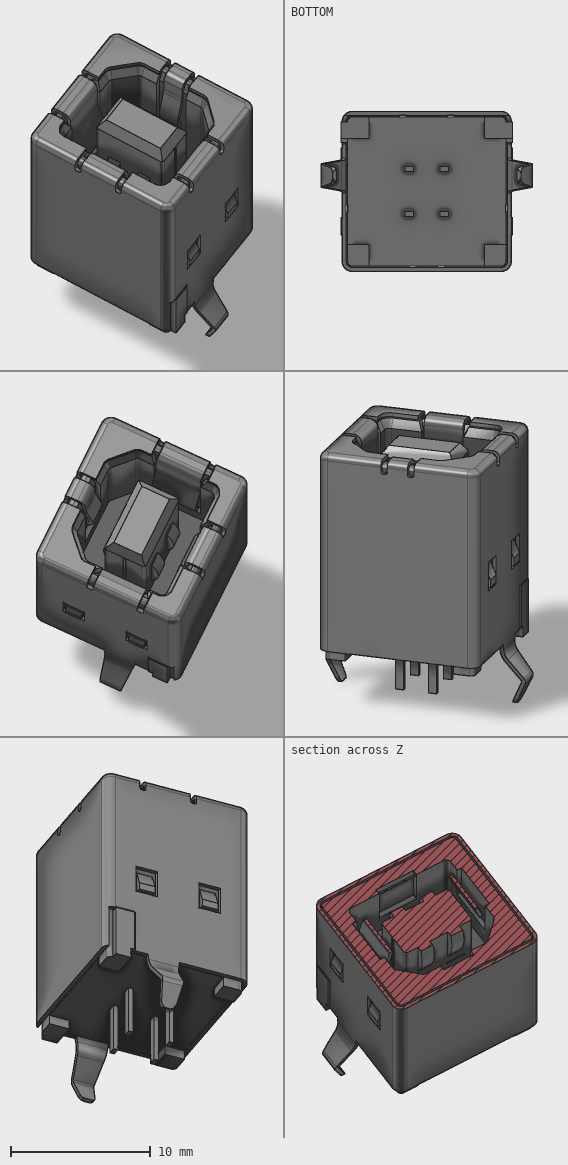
import cadquery as cq
import math


SHELL_X = 12.12
SHELL_Y = 11.47
TOP_Z = 19.64
SHELL_BOTTOM_Z = 4.7
SHEET = 0.3
CORNER_RADIUS = 0.75
RIM_RADIUS = 0.5
HALF_X = SHELL_X / 2
HALF_Y = SHELL_Y / 2
PLATE_BOTTOM_Z = TOP_Z - SHEET

SHELL_GAP = 0.1
WALL_STACK = SHEET + SHELL_GAP
HOUSING_HALF_X = HALF_X - WALL_STACK
HOUSING_HALF_Y = HALF_Y - WALL_STACK
HOUSING_TOP_Z = TOP_Z - WALL_STACK
HOUSING_RADIUS = 0.33
HOUSING_RIM_RADIUS = 0.4
FOOT = 1.55
FOOT_BOTTOM_Z = 3.97

MOUTH_HALF_X = 4.62
MOUTH_HALF_Y = 4.25
MOUTH_BEVEL_X = 1.8
MOUTH_BEVEL_Y = 1.73
MOUTH_RADIUS = 0.75
LEAD_IN = 0.37
LEAD_IN_DEPTH = 0.67
LEAD_IN_ANGLE = math.degrees(math.atan(LEAD_IN / LEAD_IN_DEPTH))
CAVITY_FLOOR_Z = 10.21

TONGUE_X = 5.7
TONGUE_Y = 3.26
TONGUE_TOP_Z = 19.17
TONGUE_RADIUS = 0.24
TONGUE_BEVEL = 0.53
TONGUE_BEVEL_DEPTH = 0.75
TONGUE_RIB_WIDTH = 0.2
TONGUE_RIB_HEIGHT = 0.05
CONTACT_X = 1.25
CONTACT_WIDTH = 1.02
CONTACT_BULGE = 0.55
CONTACT_TOP_Z = 15.71
CONTACT_BOTTOM_Z = 11.78

PIN_Y = 1.61
PIN_WIDTH = 0.6
PIN_THICKNESS = 0.33
PIN_BOTTOM_Z = 0.96

NOTCH_WIDTH = 0.5
NOTCH_BOTTOM_Z = 18.65
NOTCH_RADIUS = 0.2
RIM_FLAT = 0.98
SIDE_FINGER_Y = -0.79
SIDE_FINGER_WIDTH = 3.52
FRONT_FINGER_WIDTH = 2.95
BACK_FINGER_WIDTH = 1.53
CAVITY_REACH = 2.95
FINGER_TOP_Z = TOP_Z - SHEET / 2

SIDE_FINGER = [(-RIM_FLAT, FINGER_TOP_Z), (-1.5, FINGER_TOP_Z), (-1.5, 16.93), (-2.45, 14.73), (-2.06, 13.55)]
SIDE_FINGER_RADII = [0.5, 0.98, 0.4]
END_FINGER = [(-RIM_FLAT, FINGER_TOP_Z), (-1.45, FINGER_TOP_Z), (-1.51, 17.93), (-2.12, 15.71), (-1.77, 14.73)]
END_FINGER_RADII = [0.45, 1.77, 0.4]

SLOT_FLOOR_Z = 11.78
SLOT_CLEARANCE = 0.1
SLOT_BEVEL = 0.31
SLOT_END_BEVEL = 0.47
BACK_SLOT_INSET = 1.12
BACK_SLOT_BEVEL = 0.35

WINDOW_Y = 2.5
WINDOW_WIDTH = 1.69
WINDOW_TOP_Z = 11.98
WINDOW_BOTTOM_Z = 9.84
BARB_WIDTH = 1.24
BARB_TOP_Z = 11.7
BARB_EDGE_Z = 10.59
BARB_BOTTOM_Z = 10.04
PROUD_HEIGHT = 0.08
PROUD_X = HALF_X + PROUD_HEIGHT

BLOCK_FRONT_Y = -4.97
BLOCK_BACK_Y = -3.5
BLOCK_TOP_Z = 8.0
BLOCK_STEP_Z = 4.75
BLOCK_CLEARANCE = 0.1
CUTOUT_FRONT_Y = -5.42

LEG_Y = -1.14
LEG_ROOT_WIDTH = 2.51
LEG_TIP_WIDTH = 1.06
LEG_TIP_RADIUS = 0.5
LEG_SPAN = 15.15
LEG_REACH = LEG_SPAN / 2
LEG_ANKLE_Z = 3.8
LEG_ANKLE_RADIUS = 1.34
LEG_KNEE_RADIUS = 0.3
LEG_OUTWARD_ANGLE = math.radians(40)
LEG_INWARD_ANGLE = math.radians(25)


def box(x0, x1, y0, y1, z0, z1):
    """Axis-aligned box between two opposite corners."""
    return cq.Workplane("XY").box(x1 - x0, y1 - y0, z1 - z0, centered=False).translate((x0, y0, z0))


def rounded_block(half_x, half_y, z0, z1, corner_radius, rim_radius):
    """Block with round upright corners and a rounded top rim."""
    block = box(-half_x, half_x, -half_y, half_y, z0, z1)
    return block.edges("|Z").fillet(corner_radius).faces(">Z").edges().fillet(rim_radius)


def both_sides(feature):
    """The feature and its mirror image across the YZ plane."""
    return feature.union(feature.mirror("YZ"))


def bent_strip(points, radii, width):
    """Sheet strip whose mid-line follows (distance, height) points, rounded at each bend.

    The strip lies in the XZ plane and is centred on Y = 0.
    """
    path = cq.Workplane("XZ").moveTo(*points[0])
    for before, bend, after, radius in zip(points, points[1:], points[2:], radii):
        heading_in = math.atan2(bend[1] - before[1], bend[0] - before[0])
        heading_out = math.atan2(after[1] - bend[1], after[0] - bend[0])
        setback = radius * abs(math.tan((heading_out - heading_in) / 2))
        arc_start = (bend[0] - setback * math.cos(heading_in), bend[1] - setback * math.sin(heading_in))
        arc_end = (bend[0] + setback * math.cos(heading_out), bend[1] + setback * math.sin(heading_out))
        path = path.lineTo(*arc_start).tangentArcPoint(arc_end, relative=False)
    path = path.lineTo(*points[-1])
    heading = cq.Vector(points[1][0] - points[0][0], 0, points[1][1] - points[0][1])
    start = cq.Plane(origin=(points[0][0], 0, points[0][1]), xDir=(0, 1, 0), normal=heading.toTuple())
    return cq.Workplane(start).rect(width, SHEET).sweep(path)


def shell():
    """Open-bottomed sheet-metal can."""
    outside = rounded_block(HALF_X, HALF_Y, SHELL_BOTTOM_Z, TOP_Z, CORNER_RADIUS, RIM_RADIUS)
    inside = rounded_block(
        HALF_X - SHEET,
        HALF_Y - SHEET,
        SHELL_BOTTOM_Z,
        PLATE_BOTTOM_Z,
        CORNER_RADIUS - SHEET,
        RIM_RADIUS - SHEET,
    )
    return outside.cut(inside)


def mouth_sketch():
    """Cavity outline at the mouth: a rectangle with its two back corners cut off."""
    bevel_x = MOUTH_HALF_X - MOUTH_BEVEL_X
    bevel_y = MOUTH_HALF_Y - MOUTH_BEVEL_Y
    corners = [
        (-MOUTH_HALF_X, -MOUTH_HALF_Y),
        (MOUTH_HALF_X, -MOUTH_HALF_Y),
        (MOUTH_HALF_X, bevel_y),
        (bevel_x, MOUTH_HALF_Y),
        (-bevel_x, MOUTH_HALF_Y),
        (-MOUTH_HALF_X, bevel_y),
    ]
    return cq.Sketch().polygon(corners + corners[:1]).vertices().fillet(MOUTH_RADIUS)


def mouth_opening():
    """Straight cut through the shell's top plate."""
    return cq.Workplane("XY", origin=(0, 0, HOUSING_TOP_Z)).placeSketch(mouth_sketch()).extrude(WALL_STACK)


def cavity():
    """Plug cavity: a tapered lead-in, then straight walls down to the floor."""
    lead_in = cq.Workplane("XY", origin=(0, 0, HOUSING_TOP_Z)).placeSketch(mouth_sketch())
    lead_in = lead_in.extrude(-LEAD_IN_DEPTH, taper=LEAD_IN_ANGLE)
    depth = HOUSING_TOP_Z - LEAD_IN_DEPTH - CAVITY_FLOOR_Z
    straight = lead_in.faces("<Z").wires().toPending().extrude(-depth, combine=False)
    return lead_in.union(straight)


def housing():
    """Plastic body standing on four corner feet."""
    body = rounded_block(
        HOUSING_HALF_X, HOUSING_HALF_Y, FOOT_BOTTOM_Z, HOUSING_TOP_Z, HOUSING_RADIUS, HOUSING_RIM_RADIUS
    )
    between_x = HOUSING_HALF_X - FOOT
    between_y = HOUSING_HALF_Y - FOOT
    body = body.cut(box(-between_x, between_x, -HALF_Y, HALF_Y, FOOT_BOTTOM_Z, SHELL_BOTTOM_Z))
    return body.cut(box(-HALF_X, HALF_X, -between_y, between_y, FOOT_BOTTOM_Z, SHELL_BOTTOM_Z))


def tongue():
    """Central tongue with a bevelled top, round upright edges and a thin rib on each end."""
    shoulder_z = TONGUE_TOP_Z - TONGUE_BEVEL_DEPTH
    half_x = TONGUE_X / 2
    half_y = TONGUE_Y / 2
    block = box(-half_x, half_x, -half_y, half_y, CAVITY_FLOOR_Z, shoulder_z)
    bevelled_top = (
        cq.Workplane("XY", origin=(0, 0, shoulder_z))
        .rect(TONGUE_X, TONGUE_Y)
        .workplane(offset=TONGUE_BEVEL_DEPTH)
        .rect(TONGUE_X - 2 * TONGUE_BEVEL, TONGUE_Y - 2 * TONGUE_BEVEL)
        .loft()
    )
    block = block.union(bevelled_top).edges("|Z").fillet(TONGUE_RADIUS)
    rib_x = half_x + TONGUE_RIB_HEIGHT
    half_rib = TONGUE_RIB_WIDTH / 2
    return block.union(box(-rib_x, rib_x, -half_rib, half_rib, CAVITY_FLOOR_Z, shoulder_z))


def contacts():
    """Four contacts bulging from the long faces of the tongue."""
    face_y = TONGUE_Y / 2
    middle_z = (CONTACT_TOP_Z + CONTACT_BOTTOM_Z) / 2
    bulge = (
        cq.Workplane("YZ")
        .moveTo(face_y, CONTACT_BOTTOM_Z)
        .threePointArc((face_y + CONTACT_BULGE, middle_z), (face_y, CONTACT_TOP_Z))
        .close()
        .extrude(CONTACT_WIDTH / 2, both=True)
    )
    pair = bulge.union(bulge.mirror("XZ"))
    return both_sides(pair.translate((CONTACT_X, 0, 0)))


def pins():
    """Four straight pins below the housing."""
    positions = [(x, y) for x in (-CONTACT_X, CONTACT_X) for y in (-PIN_Y, PIN_Y)]
    plane = cq.Workplane("XY", origin=(0, 0, PIN_BOTTOM_Z))
    return plane.pushPoints(positions).rect(PIN_WIDTH, PIN_THICKNESS).extrude(SHELL_BOTTOM_Z - PIN_BOTTOM_Z)




def rim_cut(width):
    """Two notches with rounded bottoms beside the finger, and the plate removed over its spring part."""
    half_notch = NOTCH_WIDTH / 2
    notch_y = width / 2 + half_notch
    notch = box(-RIM_FLAT, 0, -half_notch, half_notch, NOTCH_BOTTOM_Z, TOP_Z)
    notch = notch.edges("|X and <Z").fillet(NOTCH_RADIUS)
    plate_half = width / 2 + NOTCH_WIDTH
    cut = box(-CAVITY_REACH, -RIM_FLAT, -plate_half, plate_half, PLATE_BOTTOM_Z, TOP_Z)
    for side in (-1, 1):
        cut = cut.union(notch.translate((0, side * notch_y, 0)))
    return cut


def housing_slot(half_width, bevel, inset, end_bevel):
    """Slot behind a finger, flared at the top of the housing."""
    bevel_bottom_z = HOUSING_TOP_Z - LEAD_IN_DEPTH
    top_length = CAVITY_REACH - inset
    bottom_length = top_length - end_bevel
    flare = (
        cq.Workplane("XY", origin=(-CAVITY_REACH, 0, bevel_bottom_z))
        .center(bottom_length / 2, 0)
        .rect(bottom_length, 2 * half_width)
        .workplane(offset=LEAD_IN_DEPTH)
        .center(end_bevel / 2, 0)
        .rect(top_length, 2 * (half_width + bevel))
        .loft(ruled=True)
    )
    slot_end = bottom_length - CAVITY_REACH
    return flare.union(box(-CAVITY_REACH, slot_end, -half_width, half_width, SLOT_FLOOR_Z, bevel_bottom_z))


def placed(feature, turn, origin):
    """Turn a +X side feature about Z and move it to its place on the shell."""
    return feature.rotate((0, 0, 0), (0, 0, 1), turn).translate(origin)


def windows():
    """Two latch windows through one X wall of the shell."""
    half = WINDOW_WIDTH / 2
    one = box(HALF_X - SHEET, HALF_X, -half, half, WINDOW_BOTTOM_Z, WINDOW_TOP_Z)
    return one.translate((0, WINDOW_Y, 0)).union(one.translate((0, -WINDOW_Y, 0)))


def barbs():
    """Two wedge-shaped latch barbs standing in the windows of one X wall."""
    outline = [
        (HOUSING_HALF_X, BARB_TOP_Z),
        (PROUD_X, BARB_EDGE_Z),
        (PROUD_X, BARB_BOTTOM_Z),
        (HOUSING_HALF_X, BARB_BOTTOM_Z),
    ]
    one = cq.Workplane("XZ").polyline(outline).close().extrude(BARB_WIDTH / 2, both=True)
    return one.translate((0, WINDOW_Y, 0)).union(one.translate((0, -WINDOW_Y, 0)))


def corner_cutout():
    """Shell cutout around a corner block; its top edge rests on the block."""
    inner_x = HALF_X - CORNER_RADIUS
    return box(inner_x, HALF_X, CUTOUT_FRONT_Y, BLOCK_BACK_Y + BLOCK_CLEARANCE, SHELL_BOTTOM_Z, BLOCK_TOP_Z)


def corner_block():
    """Block standing proud of the shell above a front foot, narrower at foot level."""
    inner_x = HOUSING_HALF_X - HOUSING_RADIUS
    foot_back_y = FOOT - HOUSING_HALF_Y
    upper = box(inner_x, PROUD_X, BLOCK_FRONT_Y, BLOCK_BACK_Y, BLOCK_STEP_Z, BLOCK_TOP_Z)
    return upper.union(box(inner_x, PROUD_X, BLOCK_FRONT_Y, foot_back_y, FOOT_BOTTOM_Z, BLOCK_STEP_Z))


def leg():
    """Spring leg: bent outward at the ankle, back inward at the knee, tapering to a round tip."""
    root_x = HALF_X - SHEET / 2
    half_turn = (LEG_OUTWARD_ANGLE + LEG_INWARD_ANGLE) / 2
    tilt = (LEG_OUTWARD_ANGLE - LEG_INWARD_ANGLE) / 2
    knee_centre_x = LEG_REACH - SHEET / 2 - LEG_KNEE_RADIUS
    knee_x = knee_centre_x + LEG_KNEE_RADIUS * math.cos(tilt) / math.cos(half_turn)
    knee_z = LEG_ANKLE_Z - (knee_x - root_x) / math.tan(LEG_OUTWARD_ANGLE)
    tip_z = SHEET / 2 * math.sin(LEG_INWARD_ANGLE)
    tip_x = knee_x - (knee_z - tip_z) * math.tan(LEG_INWARD_ANGLE)
    mid_line = [(root_x, SHELL_BOTTOM_Z), (root_x, LEG_ANKLE_Z), (knee_x, knee_z), (tip_x, tip_z)]
    strip = bent_strip(mid_line, [LEG_ANKLE_RADIUS, LEG_KNEE_RADIUS], LEG_ROOT_WIDTH)
    taper = (
        cq.Workplane("YZ")
        .polyline(
            [
                (-LEG_ROOT_WIDTH / 2, SHELL_BOTTOM_Z),
                (LEG_ROOT_WIDTH / 2, SHELL_BOTTOM_Z),
                (LEG_TIP_WIDTH / 2, 0),
                (-LEG_TIP_WIDTH / 2, 0),
            ]
        )
        .close()
        .extrude(LEG_REACH)
        .edges("|X and <Z")
        .fillet(LEG_TIP_RADIUS)
    )
    return strip.intersect(taper).translate((0, LEG_Y, 0))


side_shape = (SIDE_FINGER, SIDE_FINGER_RADII)
end_shape = (END_FINGER, END_FINGER_RADII)
flared_slot = (SLOT_BEVEL, RIM_FLAT, SLOT_END_BEVEL)
back_slot = (0, BACK_SLOT_INSET, BACK_SLOT_BEVEL)
fingers = [
    (0, (HALF_X, SIDE_FINGER_Y, 0), SIDE_FINGER_WIDTH, side_shape, SLOT_CLEARANCE, flared_slot),
    (180, (-HALF_X, SIDE_FINGER_Y, 0), SIDE_FINGER_WIDTH, side_shape, SLOT_CLEARANCE, flared_slot),
    (-90, (0, -HALF_Y, 0), FRONT_FINGER_WIDTH, end_shape, SLOT_CLEARANCE, flared_slot),
    (90, (0, HALF_Y, 0), BACK_FINGER_WIDTH, end_shape, NOTCH_WIDTH, back_slot),
]

can = shell().cut(mouth_opening()).cut(both_sides(windows())).cut(both_sides(corner_cutout()))
core = housing().cut(cavity())
for turn, origin, width, (mid_line, radii), clearance, slot in fingers:
    can = can.cut(placed(rim_cut(width), turn, origin))
    can = can.union(placed(bent_strip(mid_line, radii, width), turn, origin))
    core = core.cut(placed(housing_slot(width / 2 + clearance, *slot), turn, origin))

core = core.union(tongue()).union(contacts()).union(pins())
core = core.union(both_sides(barbs())).union(both_sides(corner_block()))
can = can.union(both_sides(leg()))

result = core.union(can)